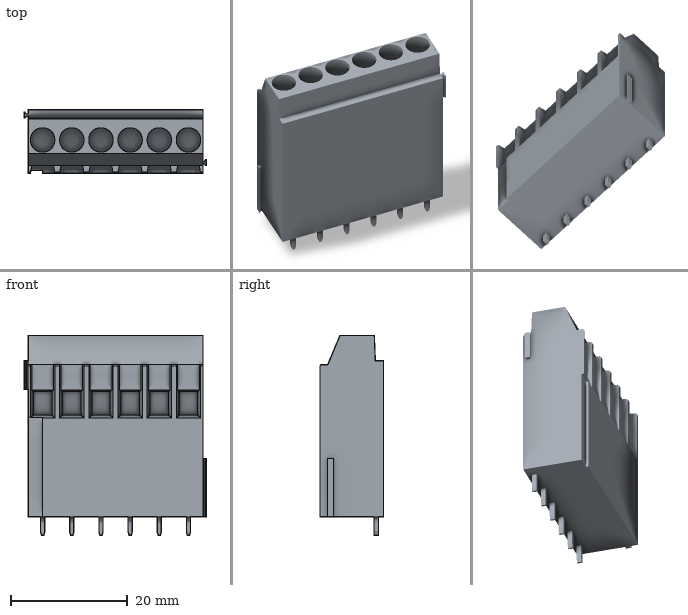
import cadquery as cq
import math

poles = 6
width = 30.0
depth = 10.95
height = 31.1
pitch = width / poles
pole_centers = [(i + 0.5) * pitch for i in range(poles)]

shelf_z = height - 5.0
step_z = height - 4.32
shelf_depth = 1.35
slope_top_y = 3.43
rear_top_y = 9.35
rear_foot_y = 9.55
shelf_chamfer = 0.2

screw_hole_diameter = 4.2
screw_hole_depth = 5.0
screw_hole_y = 5.73

pocket_width = 4.2
pocket_floor_z = 16.98
pocket_depth = 3.0
pocket_draft = 10.0
ledge_z = 21.78
draft_slope = math.tan(math.radians(pocket_draft))

recess_width = pitch / 2
recess_depth = 0.48
recess_height = 17.15

lug_head_width = 1.03
lug_stem_width = 0.45
lug_rim = 0.15
lug_head_thickness = 0.38
left_lug_reach = 0.7
left_lug_y = 9.98
left_lug_height = 4.95
right_lug_reach = 0.6
right_lug_y = 1.85
right_lug_height = 10.0

pin_length = 3.2
pin_width = 0.75
pin_thickness = 0.82
pin_tip_width = 0.4
pin_tip_length = 0.62
pin_y = 9.67


def make_shell():
    """Solid housing block with the sloped front, front shelf and rear step."""
    profile = [
        (0, 0),
        (depth, 0),
        (depth, step_z),
        (rear_foot_y, step_z),
        (rear_top_y, height),
        (slope_top_y, height),
        (shelf_depth, shelf_z),
        (shelf_chamfer, shelf_z),
        (0, shelf_z - shelf_chamfer),
    ]
    return cq.Workplane("YZ").polyline(profile).close().extrude(width)


def make_screw_hole(x):
    """Blind round hole going down from the top face."""
    top = cq.Workplane("XY", origin=(x, screw_hole_y, height))
    return top.circle(screw_hole_diameter / 2).extrude(-screw_hole_depth)


def make_wire_pocket(x):
    """Tapered pocket: a deep lower part, and a shallow part open to the shelf."""
    ceiling_z = ledge_z + shelf_depth * draft_slope
    lower_height = ceiling_z - pocket_floor_z
    front = cq.Workplane("XZ", origin=(x, 0, pocket_floor_z + lower_height / 2))
    lower = front.rect(pocket_width, lower_height).extrude(-pocket_depth, taper=pocket_draft)

    front_half = pocket_width / 2
    back_half = front_half - shelf_depth * draft_slope
    upper = (
        cq.Workplane("XY", origin=(x, 0, ledge_z))
        .polyline([
            (-front_half, 0),
            (front_half, 0),
            (back_half, shelf_depth),
            (-back_half, shelf_depth),
        ])
        .close()
        .extrude(shelf_z - ledge_z)
    )
    return lower.union(upper)


def make_lug(side, face_x, y, bottom_z, lug_height, reach):
    """Upright lug on an end face; side is -1 for the left end and +1 for the right."""
    tip_x = face_x + side * reach
    rim_x = tip_x - side * lug_rim
    neck_x = tip_x - side * lug_head_thickness
    head = lug_head_width / 2
    stem = lug_stem_width / 2
    outline = [
        (face_x, y - stem),
        (neck_x, y - stem),
        (rim_x, y - head),
        (tip_x, y - head),
        (tip_x, y + head),
        (rim_x, y + head),
        (neck_x, y + stem),
        (face_x, y + stem),
    ]
    return cq.Workplane("XY", origin=(0, 0, bottom_z)).polyline(outline).close().extrude(lug_height)


def make_housing():
    """Shell with the screw holes, wire pockets and recess cut, and the lugs added."""
    housing = make_shell()
    for x in pole_centers:
        housing = housing.cut(make_screw_hole(x))
        housing = housing.cut(make_wire_pocket(x))
    recess = cq.Workplane("XY").box(recess_width, recess_depth, recess_height, centered=False)
    housing = housing.cut(recess)
    left_lug_z = step_z - left_lug_height
    left_lug = make_lug(-1, 0, left_lug_y, left_lug_z, left_lug_height, left_lug_reach)
    right_lug = make_lug(1, width, right_lug_y, 0, right_lug_height, right_lug_reach)
    return housing.union(left_lug).union(right_lug)


def make_pin(x):
    """Flat pin standing on the housing's underside, narrowed to a blunt tip."""
    shoulder_z = pin_tip_length - pin_length
    outline = [
        (-pin_width / 2, 0),
        (pin_width / 2, 0),
        (pin_width / 2, shoulder_z),
        (pin_tip_width / 2, -pin_length),
        (-pin_tip_width / 2, -pin_length),
        (-pin_width / 2, shoulder_z),
    ]
    plane = cq.Workplane("XZ", origin=(x, pin_y, 0))
    return plane.polyline(outline).close().extrude(pin_thickness / 2, both=True)


housing = make_housing()
pins = [make_pin(x) for x in pole_centers]

result = cq.Compound.makeCompound([housing.val(), *[pin.val() for pin in pins]])